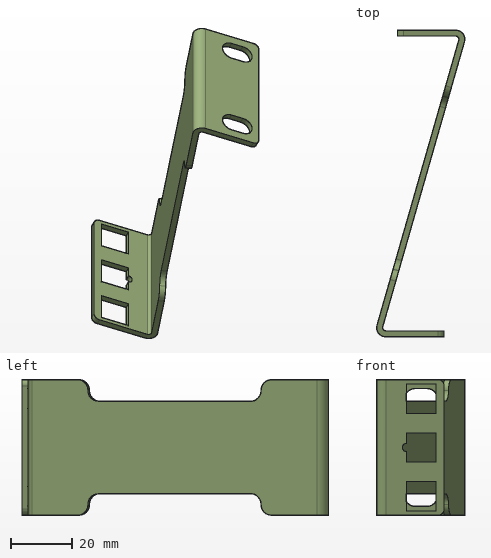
import cadquery as cq
import math

span_x = 28.8
span_y = 100.0
height = 44.2
thickness = 2.0
inner_bend = 1.0
outer_bend = inner_bend + thickness
flange_length = 22.0
corner_radius = 2.0

waist_depth = 7.0
waist_length = 58.7
waist_radius = waist_depth / 2

hole_x = 0.1
hole_pitch = 15.9
square_size = 9.6
key_radius = 1.3
slot_length = 10.5
slot_height = 6.5

bend_x = span_x / 2 - outer_bend
bend_y = span_y / 2 - outer_bend
mid_bend = (inner_bend + outer_bend) / 2
web_tilt = math.atan2(bend_x, bend_y) + math.asin(mid_bend / math.hypot(bend_x, bend_y))
flange_tip = flange_length - span_x / 2


def bend_point(side, radius, angle):
    """Point on a bend arc; side is +1 at the +Y bend and -1 at the -Y bend."""
    return (
        side * (bend_x + radius * math.cos(angle)),
        side * (bend_y + radius * math.sin(angle)),
    )


def make_folded_sheet():
    start = -web_tilt
    end = math.pi / 2
    middle = (start + end) / 2
    profile = cq.Workplane("XY").moveTo(flange_tip, -span_y / 2)
    profile = (
        profile.lineTo(*bend_point(-1, outer_bend, end))
        .threePointArc(bend_point(-1, outer_bend, middle), bend_point(-1, outer_bend, start))
        .lineTo(*bend_point(1, inner_bend, start))
        .threePointArc(bend_point(1, inner_bend, middle), bend_point(1, inner_bend, end))
        .lineTo(-flange_tip, span_y / 2 - thickness)
        .lineTo(-flange_tip, span_y / 2)
        .lineTo(*bend_point(1, outer_bend, end))
        .threePointArc(bend_point(1, outer_bend, middle), bend_point(1, outer_bend, start))
        .lineTo(*bend_point(-1, inner_bend, start))
        .threePointArc(bend_point(-1, inner_bend, middle), bend_point(-1, inner_bend, end))
        .lineTo(flange_tip, -span_y / 2 + thickness)
        .close()
    )
    return profile.extrude(height / 2, both=True)


def round_flange_corners(sheet):
    tip_edges = sheet.edges("|Y")
    return tip_edges.fillet(corner_radius)


def make_waist_cutter(side):
    """Cutter along the web with S-shaped ends; side is +1 for the top edge."""
    half = waist_length / 2
    edge_z = side * height / 2
    wall_z = edge_z - side * waist_radius
    floor_z = edge_z - side * waist_depth
    diagonal = waist_radius * math.sqrt(0.5)
    shoulder = half + waist_radius
    foot = half - waist_radius
    cutter = (
        cq.Workplane("YZ")
        .moveTo(-shoulder, edge_z)
        .threePointArc((-shoulder + diagonal, wall_z + side * diagonal), (-half, wall_z))
        .threePointArc((-foot - diagonal, wall_z - side * diagonal), (-foot, floor_z))
        .lineTo(foot, floor_z)
        .threePointArc((foot + diagonal, wall_z - side * diagonal), (half, wall_z))
        .threePointArc((shoulder - diagonal, wall_z + side * diagonal), (shoulder, edge_z))
        .close()
        .extrude(2 * thickness, both=True)
    )
    return cutter.rotate((0, 0, 0), (0, 0, 1), -math.degrees(web_tilt))


def make_square_holes():
    front_y = -span_y / 2 + thickness / 2
    cut_depth = 2 * thickness
    holes = cq.Workplane("XY")
    for row in (-1, 0, 1):
        center = (hole_x, front_y, row * hole_pitch)
        holes = holes.add(cq.Workplane("XY").box(square_size, cut_depth, square_size).translate(center))
    key = (
        cq.Workplane("XZ")
        .circle(key_radius)
        .extrude(thickness, both=True)
        .translate((hole_x - square_size / 2, front_y, 0))
    )
    return holes.add(key).combine()


def make_slots():
    return (
        cq.Workplane("XZ", origin=(0, span_y / 2 - thickness / 2, 0))
        .pushPoints([(hole_x, -hole_pitch), (hole_x, hole_pitch)])
        .slot2D(slot_length, slot_height)
        .extrude(thickness, both=True)
    )


bracket = round_flange_corners(make_folded_sheet())
for edge_side in (-1, 1):
    bracket = bracket.cut(make_waist_cutter(edge_side))
result = bracket.cut(make_square_holes()).cut(make_slots())